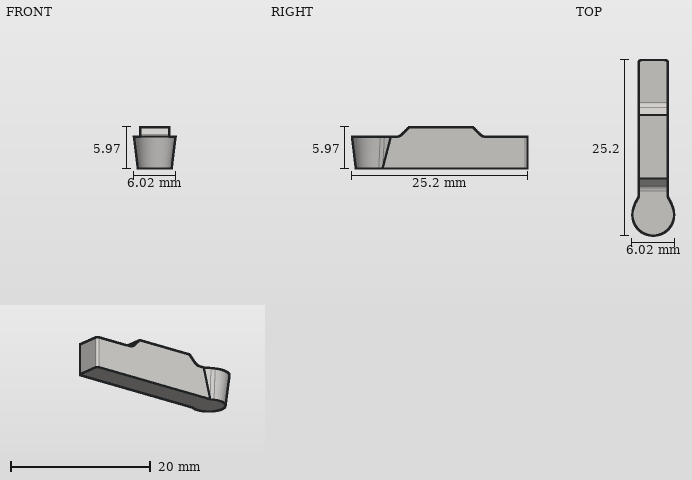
import cadquery as cq
import math

total_length = 25.16
total_height = 5.97
shelf_height = 4.6

head_radius = 3.01
head_taper = 7.0
tangent_end_y = 1.05
flank_end_y = 1.65
neck_end_y = 2.58

bar_width = 4.2
rear_corner_radius = 0.4

land_start_y = 5.2
land_length = 9.1
ramp_angle = 45.0
ramp_foot_radius = 1.0

rear_y = total_length - head_radius
half_width = bar_width / 2


def make_head():
    """Tapered head: an arc, two tangent flanks and two neck faces that meet inside the bar."""
    tangent_x = math.sqrt(head_radius**2 - tangent_end_y**2)
    flank_slope = tangent_end_y / tangent_x
    flank_x = tangent_x - flank_slope * (flank_end_y - tangent_end_y)
    neck_slope = (flank_x - half_width) / (neck_end_y - flank_end_y)
    apex_y = neck_end_y + half_width / neck_slope
    outline = (
        cq.Workplane("XY")
        .workplane(offset=shelf_height)
        .moveTo(-tangent_x, tangent_end_y)
        .threePointArc((0, -head_radius), (tangent_x, tangent_end_y))
        .lineTo(flank_x, flank_end_y)
        .lineTo(0, apex_y)
        .lineTo(-flank_x, flank_end_y)
        .close()
    )
    return outline.extrude(-shelf_height, taper=head_taper)


def make_bar():
    """Bar with the raised land, from the head centre to the rear end."""
    land_end_y = land_start_y + land_length
    ramp_run = (total_height - shelf_height) / math.tan(math.radians(ramp_angle))
    ramp_foot_front = land_start_y - ramp_run
    ramp_foot_rear = land_end_y + ramp_run
    bar = (
        cq.Workplane("YZ")
        .polyline([
            (0, 0),
            (rear_y, 0),
            (rear_y, shelf_height),
            (ramp_foot_rear, shelf_height),
            (land_end_y, total_height),
            (land_start_y, total_height),
            (ramp_foot_front, shelf_height),
            (0, shelf_height),
        ])
        .close()
        .extrude(half_width, both=True)
    )
    for foot_y in (ramp_foot_front, ramp_foot_rear):
        foot_edge = cq.selectors.NearestToPointSelector((0, foot_y, shelf_height))
        bar = bar.edges(foot_edge).fillet(ramp_foot_radius)
    return bar.faces(">Y").edges("|Z").fillet(rear_corner_radius)


result = make_bar().union(make_head())